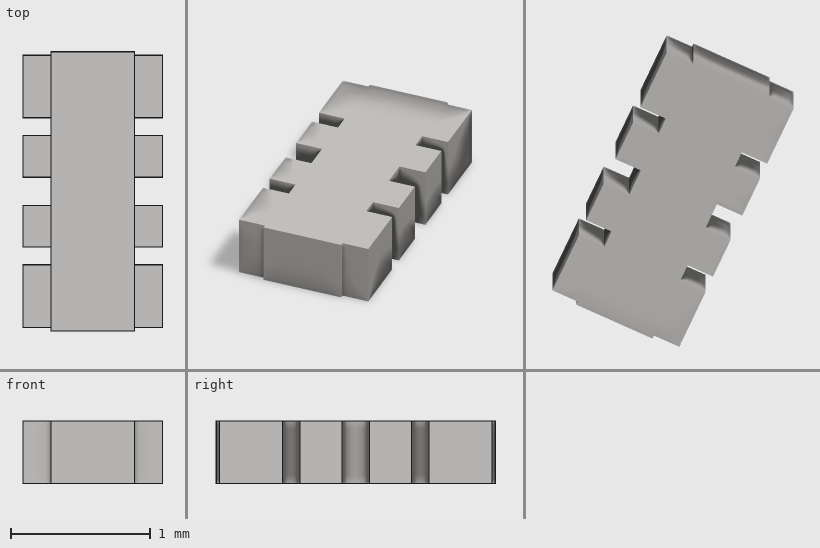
import cadquery as cq

overall_width = 1.0
body_length = 2.0
height = 0.45

terminal_depth = 0.2
body_width = overall_width - 2 * terminal_depth

outer_terminal_length = 0.45
outer_terminal_offset = 0.75
inner_terminal_length = 0.3
inner_terminal_offset = 0.25


def make_body():
    """Plain rectangular block centred on X and Y, resting on Z = 0."""
    return cq.Workplane("XY").box(body_width, body_length, height, centered=(True, True, False))


def make_terminal(side, length, y_center):
    """Full-height block against one long side of the body (side is -1 or +1)."""
    x_center = side * (body_width + terminal_depth) / 2
    return (
        cq.Workplane("XY")
        .box(terminal_depth, length, height, centered=(True, True, False))
        .translate((x_center, y_center, 0))
    )


body = make_body()

terminals = []
for side in (-1, 1):
    for end in (-1, 1):
        terminals.append(make_terminal(side, outer_terminal_length, end * outer_terminal_offset))
        terminals.append(make_terminal(side, inner_terminal_length, end * inner_terminal_offset))

result = cq.Compound.makeCompound([body.val(), *[terminal.val() for terminal in terminals]])